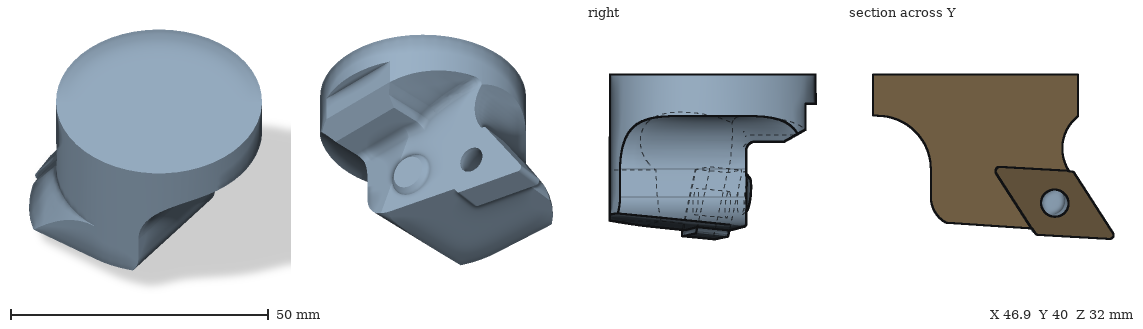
import cadquery as cq
import math

shank_r = 40.0 / 2
flare_r = 25.2
flare_top_z = -18.55
flare_bottom_z = -28.4
body_low_z = -35.15

relief_top_z = -8.05
relief_wall_x = 8.7
relief_arc_r = 10.3
heel_r = 5.75
heel_low_z = -29.55

under_z = -29.2
under_slope_x = 0.067
under_slope_y = -0.093

rear_flat_y = 18.05
rear_flat_z = -5.7
pocket_wall_y = 6.5
pocket_fillet_r = 1.65
roof_outer_x, roof_outer_z = -18.75, -8.1
roof_mid_x, roof_mid_z = -13.75, -9.0
roof_inner_x, roof_inner_z = -8.62, -10.7
roof_bend_x, roof_bend_z = -6.55, -11.7
roof_low_x, roof_low_z = -5.62, -13.1
lip_y = 13.85

insert_angle = 55.0
insert_inscribed_d = 12.7
insert_side = insert_inscribed_d / math.sin(math.radians(insert_angle))
insert_thickness = 6.37
insert_corner_r = 0.8
insert_hole_d = 5.15
rake_slope_x = 0.19
rake_slope_z = 0.098
insert_center = cq.Vector(-15.95, 2.9, -25.25)
edge_rise = 0.04

flute_r = 8.05
side_inset = 0.65
nose_side = (-9.3, -4.4)
nose_under = (-8.2, -5.8)

boss_x, boss_z = -2.35, -23.2
boss_base_r = 4.35
boss_top_r = 3.3
boss_height = 1.12

span = 93.75


def rake_y(x, z):
    """Y of the rake plane at a given X and Z."""
    return insert_center.y + rake_slope_x * (x - insert_center.x) + rake_slope_z * (z - insert_center.z)


rake_plane = cq.Plane(
    origin=insert_center.toTuple(),
    xDir=(1, rake_slope_x + rake_slope_z * edge_rise, edge_rise),
    normal=(rake_slope_x, -1, rake_slope_z),
)
edge_x = math.cos(math.radians(insert_angle))
edge_y = math.sin(math.radians(insert_angle))


def xz_prism(wire, y_start, y_end):
    """Extrude a closed XZ sketch along +Y between two Y values."""
    return wire.extrude(-(y_end - y_start)).translate((0, y_start, 0))


def insert_blank():
    long_x = insert_side * (1 + edge_x) / 2
    short_x = insert_side * (1 - edge_x) / 2
    half_y = insert_inscribed_d / 2
    corners = [(-long_x, -half_y), (short_x, -half_y), (long_x, half_y), (-short_x, half_y)]
    blank = cq.Workplane(rake_plane).polyline(corners).close().extrude(insert_thickness)
    return blank.edges(cq.selectors.ParallelDirSelector(rake_plane.zDir)).fillet(insert_corner_r)


def make_insert():
    hole = cq.Workplane(rake_plane).circle(insert_hole_d / 2).extrude(insert_thickness)
    return insert_blank().cut(hole)


def flared_shank():
    shank = cq.Workplane("XY").circle(shank_r).extrude(body_low_z)
    flare = (
        cq.Workplane("XZ")
        .moveTo(0, flare_top_z)
        .lineTo(shank_r, flare_top_z)
        .lineTo(flare_r, flare_bottom_z)
        .lineTo(flare_r, body_low_z)
        .lineTo(0, body_low_z)
        .close()
        .revolve(360, (0, 0), (0, 1))
    )
    flare_zone = cq.Workplane("XY").box(span, span, span).translate((-span / 2, span / 2 - shank_r, 0))
    return shank.union(flare.intersect(flare_zone))


def back_relief():
    arc_x = relief_wall_x + relief_arc_r
    arc_z = relief_top_z - relief_arc_r
    heel_x = relief_wall_x - heel_r
    heel_z = heel_low_z + heel_r
    diagonal = math.sqrt(0.5)
    outline = (
        cq.Workplane("XZ")
        .moveTo(span, relief_top_z)
        .lineTo(arc_x, relief_top_z)
        .threePointArc((arc_x - relief_arc_r * diagonal, arc_z + relief_arc_r * diagonal), (relief_wall_x, arc_z))
        .lineTo(relief_wall_x, heel_z)
        .threePointArc((heel_x + heel_r * diagonal, heel_z - heel_r * diagonal), (heel_x, heel_low_z))
        .lineTo(heel_x, -span)
        .lineTo(span, -span)
        .close()
    )
    return xz_prism(outline, -span / 2, span / 2)


def underside():
    plane = cq.Plane(origin=(0, 0, under_z), xDir=(1, 0, under_slope_x), normal=(under_slope_x, under_slope_y, -1))
    return cq.Workplane(plane).rect(span, span).extrude(span)


def chip_pocket():
    outline = (
        cq.Workplane("XZ")
        .moveTo(-span, roof_outer_z)
        .lineTo(roof_outer_x, roof_outer_z)
        .threePointArc((roof_mid_x, roof_mid_z), (roof_inner_x, roof_inner_z))
        .lineTo(roof_bend_x, roof_bend_z)
        .lineTo(roof_low_x, roof_low_z)
        .lineTo(span, roof_low_z)
        .lineTo(span, -span)
        .lineTo(-span, -span)
        .close()
    )
    space = xz_prism(outline, -span / 2, span / 2)
    behind_rake = cq.Workplane(rake_plane).rect(3 * span, 3 * span).extrude(2 * span)
    behind_wall = cq.Workplane("XZ", origin=(0, pocket_wall_y, 0)).rect(3 * span, 3 * span).extrude(2 * span)
    pocket = space.cut(behind_rake.intersect(behind_wall))
    return pocket.edges(roof_corner()).fillet(pocket_fillet_r)


def roof_corner():
    """Selects the edges where the pocket roof meets the rake plane and the pocket wall."""
    return cq.selectors.BoxSelector((-span, -span, roof_low_z - 0.45), (span, pocket_wall_y + 0.45, 0))


def rear_flat():
    outline = [(-span, rear_flat_z), (span, rear_flat_z), (span, -span), (-span, -span)]
    return xz_prism(cq.Workplane("XZ").polyline(outline).close(), rear_flat_y, span)


def lip_chamfer():
    outline = [(rear_flat_y, roof_inner_z), (lip_y, roof_low_z), (rear_flat_y, roof_low_z)]
    return cq.Workplane("YZ").polyline(outline).close().extrude(span, both=True)


def flute():
    """Round flute that runs tangent into the flat side clearance below it."""
    side_offset = insert_inscribed_d / 2 - side_inset
    out_x, out_y = -edge_y, edge_x
    tangent_along = (insert_inscribed_d / 2 - edge_x * side_offset) / edge_y

    def place(along, outward):
        return (edge_x * along + out_x * outward, edge_y * along + out_y * outward)

    center = place(tangent_along, side_offset + flute_r)
    side = [
        place(tangent_along, side_offset),
        place(-span, side_offset),
        place(-span, side_offset + flute_r),
        center,
    ]
    start = cq.Workplane(rake_plane).workplane(offset=-span / 2)
    groove = start.center(*center).circle(flute_r).extrude(span)
    clearance = start.polyline(side).close().extrude(span)
    return groove.union(clearance)


def nose_chamfer():
    run_x = nose_under[0] - nose_side[0]
    run_y = nose_under[1] - nose_side[1]
    reach = span / math.hypot(run_x, run_y)
    start = (nose_side[0] - reach * run_x, nose_side[1] - reach * run_y)
    end = (nose_side[0] + reach * run_x, nose_side[1] + reach * run_y)
    corner = (start[0], end[1])
    return cq.Workplane(rake_plane).polyline([start, end, corner]).close().extrude(span, both=True)


def boss():
    base = cq.Plane(
        origin=(boss_x, rake_y(boss_x, boss_z), boss_z),
        xDir=rake_plane.xDir.toTuple(),
        normal=(rake_plane.zDir * -1).toTuple(),
    )
    return cq.Workplane(base).circle(boss_base_r).workplane(offset=boss_height).circle(boss_top_r).loft()


def make_holder():
    holder = flared_shank()
    for cutter in (back_relief(), underside(), rear_flat(), lip_chamfer(), chip_pocket(), flute(), nose_chamfer()):
        holder = holder.cut(cutter)
    return holder.union(boss()).cut(insert_blank())


holder = make_holder()
insert = make_insert()
result = cq.Compound.makeCompound([*holder.vals(), insert.val()])